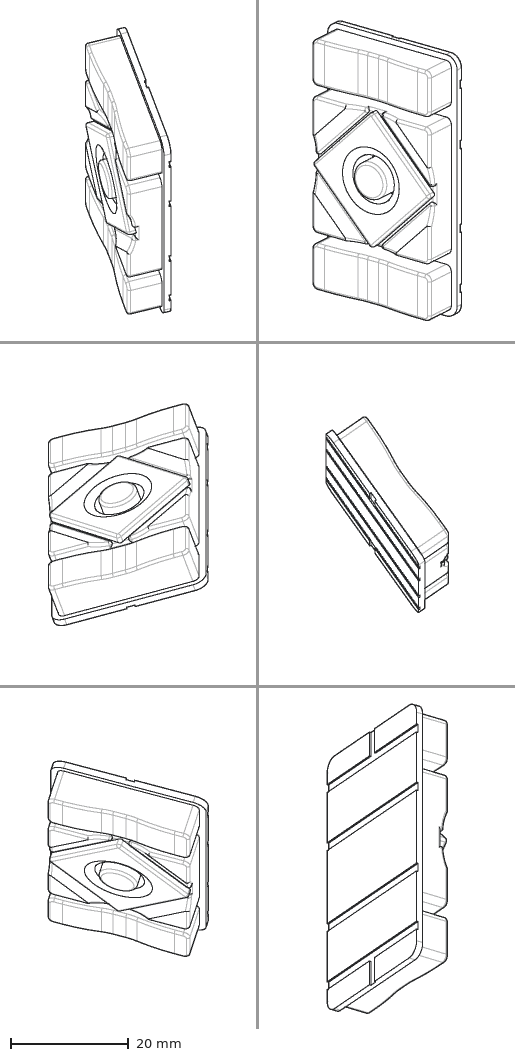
import cadquery as cq
import math


plate_width = 27.6
plate_length = 48.15
plate_thickness = 1.25
plate_corner_radius = 2.3

pad_width = 25.15
pad_top = 7.3
pad_corner_radius = 1.1
edge_radius = 0.5
end_pad_length = 8.47
end_pad_center = 18.8

wave_depth = 0.65
wave_flat_half = 1.15
wave_bend = 3.15
wave_start = 9.9

groove_floor = pad_top - 1.5
diamond_half = 8.9
diamond_corner_radius = 0.6
groove_wall = 9.4
groove_rim = 12.3
bowl_radius = 4.9
bowl_run = groove_rim - groove_wall
acute_corner_radius = 0.55

pin_diameter = 6.8
pin_top = 7.8
bore_diameter = 8.8
pocket_rim_diameter = 12.1

channel_width = 1.5
channel_depth = 0.3
outer_channel_y = end_pad_center
inner_channel_y = 7.7


def make_pad(length, top):
    return (
        cq.Workplane("XY", origin=(0, 0, plate_thickness))
        .box(pad_width, length, top - plate_thickness, centered=(True, True, False))
        .edges("|Z")
        .fillet(pad_corner_radius)
    )


def round_top(body):
    return body.edges("not(|Z or <Z)").fillet(edge_radius)


def make_plate():
    plate = (
        cq.Workplane("XY")
        .box(plate_width, plate_length, plate_thickness, centered=(True, True, False))
        .edges("|Z")
        .fillet(plate_corner_radius)
    )
    for side in (1, -1):
        for y in (outer_channel_y, inner_channel_y):
            plate = plate.cut(
                cq.Workplane("XY")
                .box(plate_width, channel_width, channel_depth, centered=(True, True, False))
                .translate((0, side * y, 0))
            )
        run = plate_length / 2 - outer_channel_y
        plate = plate.cut(
            cq.Workplane("XY")
            .box(channel_width, run, channel_depth, centered=(True, True, False))
            .translate((0, side * (plate_length - run) / 2, 0))
        )
    return plate


def make_end_pad():
    drop_at_bend = wave_depth * (wave_start - wave_bend) / (wave_start - wave_flat_half)
    z_bend = pad_top - drop_at_bend
    z_middle = pad_top - wave_depth
    wave = (
        cq.Workplane("XZ")
        .moveTo(-pad_width, pad_top)
        .lineTo(-wave_start, pad_top)
        .tangentArcPoint((-wave_bend, z_bend), relative=False)
        .tangentArcPoint((-wave_flat_half, z_middle), relative=False)
        .lineTo(wave_flat_half, z_middle)
        .tangentArcPoint((wave_bend, z_bend), relative=False)
        .tangentArcPoint((wave_start, pad_top), relative=False)
        .lineTo(pad_width, pad_top)
        .lineTo(pad_width, 0)
        .lineTo(-pad_width, 0)
        .close()
        .extrude(plate_length, both=True)
    )
    pad = make_pad(end_pad_length, pad_top).intersect(wave)
    return round_top(pad)


def bowl_depth(inset):
    def arc_height(distance_from_level):
        return math.sqrt(bowl_radius**2 - distance_from_level**2)

    return arc_height(bowl_run - inset) - arc_height(bowl_run)


def make_corner_block():
    ridge = (
        cq.Workplane("XZ")
        .moveTo(groove_wall, plate_thickness)
        .lineTo(groove_wall, pad_top - bowl_depth(bowl_run))
        .radiusArc((groove_rim, pad_top), -bowl_radius)
        .lineTo(pad_width, pad_top)
        .lineTo(pad_width, plate_thickness)
        .close()
        .extrude(pad_width, both=True)
        .rotate((0, 0, 0), (0, 0, 1), 45)
    )
    block = ridge.intersect(make_pad(pad_width, pad_top))
    block = block.edges("|Z").edges("<X or <Y").fillet(acute_corner_radius)
    top_edges = block.edges("not(|Z or <Z)")
    wall_edge = top_edges.edges("<(1, 1, 0)")
    return top_edges.edges("not |(1, -1, 0)").add(wall_edge).fillet(edge_radius)


def make_diamond():
    return (
        cq.Workplane("XY", origin=(0, 0, plate_thickness))
        .rect(2 * diamond_half, 2 * diamond_half)
        .extrude(pad_top - plate_thickness)
        .edges("|Z")
        .fillet(diamond_corner_radius)
        .faces(">Z")
        .edges()
        .fillet(edge_radius)
        .rotate((0, 0, 0), (0, 0, 1), 45)
    )


def make_pocket():
    rim_radius = pocket_rim_diameter / 2
    bore_radius = bore_diameter / 2
    bore_top = pad_top - bowl_depth(rim_radius - bore_radius)
    return (
        cq.Workplane("XZ")
        .moveTo(0, pad_top)
        .lineTo(rim_radius, pad_top)
        .radiusArc((bore_radius, bore_top), bowl_radius)
        .lineTo(bore_radius, plate_thickness)
        .lineTo(0, plate_thickness)
        .close()
        .revolve(360, (0, 0, 0), (0, 1, 0))
    )


def make_pin():
    return (
        cq.Workplane("XY", origin=(0, 0, plate_thickness))
        .circle(pin_diameter / 2)
        .extrude(pin_top - plate_thickness)
        .faces(">Z")
        .edges()
        .fillet(edge_radius)
    )


def make_middle_pad():
    pad = round_top(make_pad(pad_width, groove_floor))
    corner = make_corner_block()
    for angle in (0, 90, 180, 270):
        pad = pad.union(corner.rotate((0, 0, 0), (0, 0, 1), angle))
    return pad.union(make_diamond()).cut(make_pocket()).union(make_pin())


body = make_plate().union(make_middle_pad())
for side in (1, -1):
    body = body.union(make_end_pad().translate((0, side * end_pad_center, 0)))
result = body.rotate((0, 0, 0), (1, 0, 0), 90)